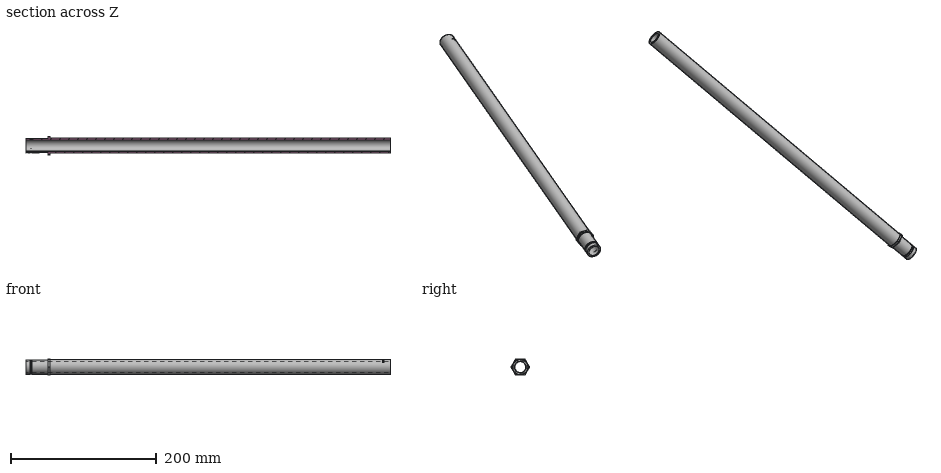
import cadquery as cq
import math

tube_length = 500.0
outer_radius = 10.5
bore_radius = 7.5

neck_step = 0.6
neck_radius = outer_radius - neck_step

collar_start = 30.0
collar_width = 3.0
collar_across_flats = 22.0
collar_corner_diameter = collar_across_flats / math.cos(math.radians(30))

groove_start = 5.5
groove_width = 3.0
groove_depth = 0.75

slot_to_end = 10.0
slot_width = 1.5
slot_length = 5.0
slot_tilt = 38.0


def cross_section(x):
    """Workplane across the tube: local x is +Y, normal is +X."""
    return cq.Workplane("YZ", origin=(x, 0, 0))


def make_tube():
    neck = cross_section(0).circle(neck_radius).extrude(collar_start)
    collar = (
        cross_section(collar_start)
        .polygon(6, collar_corner_diameter)
        .extrude(collar_width)
    )
    barrel = (
        cross_section(collar_start)
        .circle(outer_radius)
        .extrude(tube_length - collar_start)
    )
    bore = cross_section(0).circle(bore_radius).extrude(tube_length)
    return neck.union(barrel).union(collar).cut(bore)


def make_groove():
    profile = (
        cq.Workplane("XZ")
        .moveTo(groove_start, neck_radius)
        .lineTo(groove_start + groove_width / 2, neck_radius - groove_depth)
        .lineTo(groove_start + groove_width, neck_radius)
        .close()
    )
    return profile.revolve(360, (0, 0, 0), (1, 0, 0))


def make_wall_slot():
    """Cutter from the tube axis outward, so only one wall is pierced."""
    slot_x = tube_length - slot_to_end
    cutter = (
        cq.Workplane("XY", origin=(slot_x, 0, 0))
        .slot2D(slot_length, slot_width, 90)
        .extrude(2 * outer_radius)
    )
    return cutter.rotate((0, 0, 0), (1, 0, 0), slot_tilt)


result = make_tube().cut(make_groove()).cut(make_wall_slot())